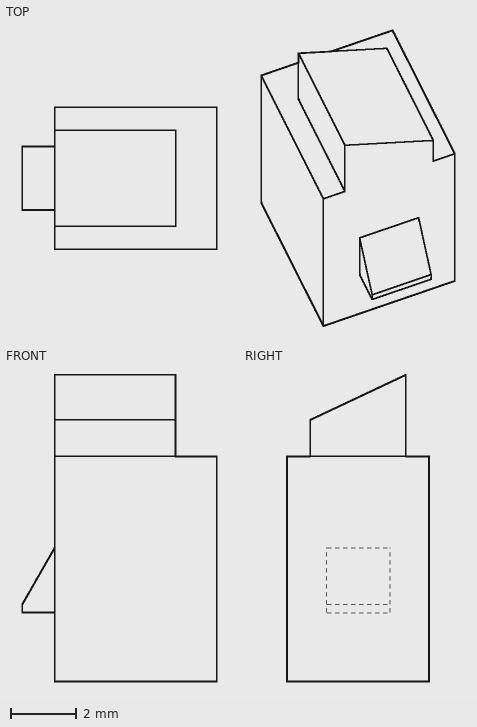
import cadquery as cq

total_height = 9.38
total_length = 5.95

body_length = 4.95
body_width = 4.35
body_height = 6.885

button_length = 3.7
button_width = 2.93
button_low_edge = 8.0

latch_reach = total_length - body_length
latch_width = 1.95
latch_bottom = 2.11
latch_lip = 0.25
latch_top = 4.1


def make_body():
    """Plain block with its -X face at X = 0, centred on Y and standing on Z = 0."""
    return cq.Workplane("XY").box(body_length, body_width, body_height, centered=(False, True, False))


def make_button():
    """Button whose top slopes down from the +Y side to the -Y side."""
    half_width = button_width / 2
    profile = [
        (-half_width, body_height),
        (half_width, body_height),
        (half_width, total_height),
        (-half_width, button_low_edge),
    ]
    return cq.Workplane("YZ").polyline(profile).close().extrude(button_length)


def make_latch():
    """Wedge with a flat underside and a short upright lip."""
    profile = [
        (0, latch_bottom),
        (-latch_reach, latch_bottom),
        (-latch_reach, latch_bottom + latch_lip),
        (0, latch_top),
    ]
    return cq.Workplane("XZ").polyline(profile).close().extrude(latch_width / 2, both=True)


result = make_body().union(make_button()).union(make_latch())